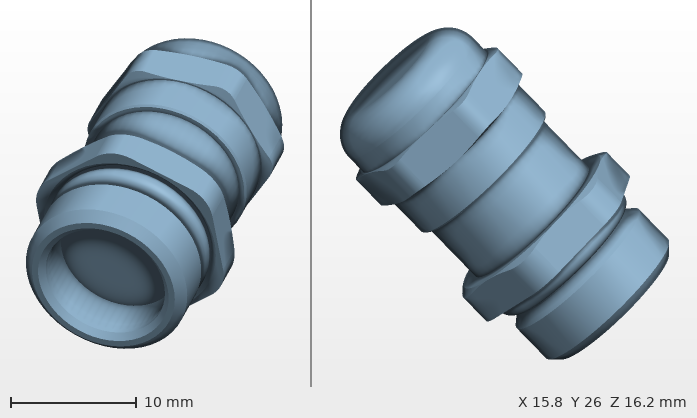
import cadquery as cq
import math

length = 26.0

thread_radius = 6.79
thread_face_radius = 6.0
thread_lead_length = 0.78
thread_end = 4.2
relief_radius = 5.88
relief_start = 5.02

ring_radius = 6.79
ring_start = 5.15
ring_section_radius = 1.0

bore_mouth_radius = 5.49
bore_radius = 10.0 / 2
bore_depth = 4.19
bore_lead_length = 0.5

body_hex_start = 6.5
body_hex_end = 9.52
body_hex_flats = 15.0
body_hex_corner_radius = 3.0
body_hex_angle = 20.0
body_hex_chamfer = 0.4
recess_radius = 7.23
recess_floor_radius = 6.7
recess_depth = 0.52

neck_radius = 12.5 / 2
cap_start = 15.03
cap_radius = 13.7 / 2
cap_edge_chamfer = 0.15
cap_hex_start = 18.55
cap_hex_end = 21.95
cap_hex_flats = 14.0
cap_hex_corner_radius = 1.98
cap_hex_angle = 0.0
cap_hex_chamfer = 0.29
dome_round = 2.5


def revolve_profile(points):
    """Revolve a closed outline of (radius, Y) points about the Y axis."""
    return cq.Workplane("XY").polyline(points).close().revolve(360, (0, 0, 0), (0, 1, 0))


def cylinder(radius, start, end):
    return revolve_profile([(0, start), (radius, start), (radius, end), (0, end)])


def rounded_hexagon(start, end, flats, corner_radius, angle, chamfer, chamfer_front):
    """Hexagon along Y with rounded corners and turned chamfers at its ends."""
    side = flats / math.sqrt(3)
    prism = (
        cq.Workplane("XZ", origin=(0, start, 0))
        .polygon(6, 2 * side)
        .extrude(start - end)
        .edges("|Y")
        .fillet(corner_radius)
        .rotate((0, 0, 0), (0, 1, 0), angle)
    )
    inner = flats / 2
    outer = side - corner_radius * (2 / math.sqrt(3) - 1)
    outline = [(0, start)]
    if chamfer_front:
        outline += [(inner, start), (outer, start + chamfer)]
    else:
        outline += [(outer, start)]
    outline += [(outer, end - chamfer), (inner, end), (0, end)]
    return prism.intersect(revolve_profile(outline))


def threaded_end():
    return revolve_profile([
        (0, 0),
        (thread_face_radius, 0),
        (thread_radius, thread_lead_length),
        (thread_radius, thread_end),
        (relief_radius, relief_start),
        (relief_radius, body_hex_end),
        (0, body_hex_end),
    ])


def body_hexagon():
    hexagon = rounded_hexagon(
        body_hex_start, body_hex_end, body_hex_flats,
        body_hex_corner_radius, body_hex_angle, body_hex_chamfer, False,
    )
    seat = revolve_profile([
        (0, body_hex_start),
        (recess_radius, body_hex_start),
        (recess_floor_radius, body_hex_start + recess_depth),
        (0, body_hex_start + recess_depth),
    ])
    return hexagon.cut(seat)


def sealing_ring():
    centre_radius = ring_radius - ring_section_radius
    centre_y = ring_start + ring_section_radius
    section = cq.Workplane("XY").center(centre_radius, centre_y).circle(ring_section_radius)
    return section.revolve(360, (-centre_radius, 0, 0), (-centre_radius, 1, 0))


def clamping_cap():
    cap = cylinder(cap_radius, cap_start, length)
    cap = cap.faces("<Y").edges().chamfer(cap_edge_chamfer)
    cap = cap.faces(">Y").edges().fillet(dome_round)
    hexagon = rounded_hexagon(
        cap_hex_start, cap_hex_end, cap_hex_flats,
        cap_hex_corner_radius, cap_hex_angle, cap_hex_chamfer, True,
    )
    return cap.union(hexagon)


def blind_bore():
    return revolve_profile([
        (0, 0),
        (bore_mouth_radius, 0),
        (bore_radius, bore_lead_length),
        (bore_radius, bore_depth),
        (0, bore_depth),
    ])


neck = cylinder(neck_radius, body_hex_start + recess_depth, cap_start + dome_round)

result = (
    threaded_end()
    .union(sealing_ring())
    .union(body_hexagon())
    .union(neck)
    .union(clamping_cap())
    .cut(blind_bore())
)